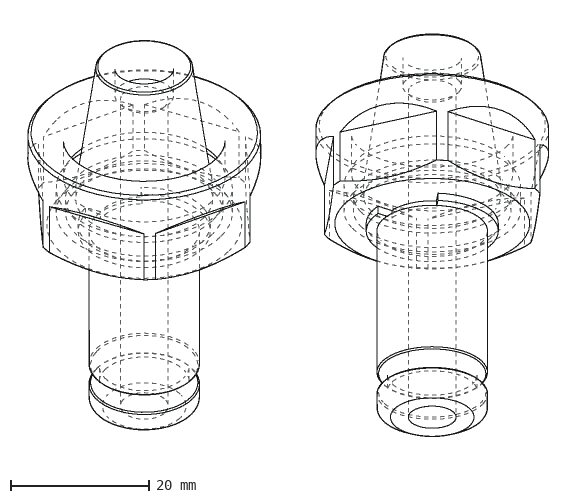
import cadquery as cq
import math

total_height = 59.0

shank_dia = 16.0
groove_dia = 13.0
groove_bottom_z = 4.1
groove_top_z = 7.1
groove_edge_chamfer = 0.25
groove_root_fillet = 0.25
end_chamfer_width = 1.95
end_chamfer_angle = 30.0
end_corner_fillet = 0.9

nose_tip_dia = 14.05
nose_tip_chamfer = 0.3
nose_base_dia = 19.8
nose_half_angle = 8.0
collar_dia = 22.8
collar_top_z = 36.0

bore_dia = 6.9
mouth_dia = 8.5
mouth_depth = 5.0
mouth_fillet = 0.5

nut_dia = 33.7
nut_bottom_z = 31.55
nut_top_z = 47.5
nut_rim_chamfer = 0.5
across_flats = 30.0
flat_top_z = 41.1
flat_runout_angle = 45.0
nut_bottom_face_dia = 28.2
nut_bottom_chamfer_angle = 30.0

throat_dia = 23.35
throat_fillet = 1.5
throat_bottom_z = 39.75
hollow_dia = 25.5
hollow_floor_z = 33.65
hollow_cone_angle = 30.0

ring_outer_dia = 19.1
ring_inner_dia = 14.3
ring_bottom_z = 30.4
ring_gap_angle = 60.0

clearance = 0.6


def tan_deg(angle):
    return math.tan(math.radians(angle))


def cylinder(diameter, bottom_z, top_z):
    return cq.Workplane("XY").workplane(offset=bottom_z).circle(diameter / 2).extrude(top_z - bottom_z)


def revolve_profile(points):
    """Turn a closed (radius, z) outline about the Z axis."""
    return cq.Workplane("XZ").polyline(points).close().revolve(360, (0, 0), (0, 1))


def make_groove():
    """Ring-shaped cut with chamfered rims and rounded roots."""
    core_radius = groove_dia / 2
    outer_radius = shank_dia / 2
    clear_radius = outer_radius + clearance
    rim_radius = outer_radius - groove_edge_chamfer
    root_radius = core_radius + groove_root_fillet
    root_inset = groove_root_fillet * (1 - math.sqrt(0.5))
    return (
        cq.Workplane("XZ")
        .moveTo(root_radius, groove_bottom_z)
        .lineTo(rim_radius, groove_bottom_z)
        .lineTo(outer_radius, groove_bottom_z - groove_edge_chamfer)
        .lineTo(clear_radius, groove_bottom_z - groove_edge_chamfer)
        .lineTo(clear_radius, groove_top_z + groove_edge_chamfer)
        .lineTo(outer_radius, groove_top_z + groove_edge_chamfer)
        .lineTo(rim_radius, groove_top_z)
        .lineTo(root_radius, groove_top_z)
        .threePointArc(
            (core_radius + root_inset, groove_top_z - root_inset),
            (core_radius, groove_top_z - groove_root_fillet),
        )
        .lineTo(core_radius, groove_bottom_z + groove_root_fillet)
        .threePointArc(
            (core_radius + root_inset, groove_bottom_z + root_inset),
            (root_radius, groove_bottom_z),
        )
        .close()
        .revolve(360, (0, 0), (0, 1))
    )


def make_shank():
    end_chamfer_height = end_chamfer_width * tan_deg(end_chamfer_angle)
    shank = cylinder(shank_dia, 0, collar_top_z)
    shank = shank.faces("<Z").chamfer(end_chamfer_height, end_chamfer_width)
    shank = shank.faces("%CYLINDER").edges("<Z").fillet(end_corner_fillet)
    return shank.cut(make_groove())


def make_nose():
    """Collar, straight neck and the taper above it."""
    tip_radius = nose_tip_dia / 2
    base_radius = nose_base_dia / 2
    tip_edge_z = total_height - nose_tip_chamfer
    taper_bottom_z = tip_edge_z - (base_radius - tip_radius) / tan_deg(nose_half_angle)
    return revolve_profile([
        (0, hollow_floor_z),
        (collar_dia / 2, hollow_floor_z),
        (collar_dia / 2, collar_top_z),
        (base_radius, collar_top_z),
        (base_radius, taper_bottom_z),
        (tip_radius, tip_edge_z),
        (tip_radius - nose_tip_chamfer, total_height),
        (0, total_height),
    ])


def make_nut_blank():
    nut_radius = nut_dia / 2
    bottom_radius = nut_bottom_face_dia / 2
    bottom_chamfer_height = (nut_radius - bottom_radius) * tan_deg(nut_bottom_chamfer_angle)
    return revolve_profile([
        (0, nut_bottom_z),
        (bottom_radius, nut_bottom_z),
        (nut_radius, nut_bottom_z + bottom_chamfer_height),
        (nut_radius, nut_top_z - nut_rim_chamfer),
        (nut_radius - nut_rim_chamfer, nut_top_z),
        (0, nut_top_z),
    ])


def cut_hexagon(nut):
    """Mill six flats that run out into the round rim along a sloping face."""
    flat_x = across_flats / 2
    clear_x = nut_dia / 2 + clearance
    runout_height = (clear_x - flat_x) * tan_deg(flat_runout_angle)
    cutter = (
        cq.Workplane("XZ")
        .polyline([
            (flat_x, nut_bottom_z - clearance),
            (flat_x, flat_top_z),
            (clear_x, flat_top_z + runout_height),
            (clear_x, nut_bottom_z - clearance),
        ])
        .close()
        .extrude(nut_dia / 2, both=True)
    )
    for side in range(6):
        nut = nut.cut(cutter.rotate((0, 0, 0), (0, 0, 1), 60 * side))
    return nut


def make_hollow():
    throat_radius = throat_dia / 2
    hollow_radius = hollow_dia / 2
    mouth_radius = throat_radius + throat_fillet
    cone_bottom_z = throat_bottom_z - (hollow_radius - throat_radius) / tan_deg(hollow_cone_angle)
    mid_arc = throat_fillet * math.sqrt(0.5)
    return (
        cq.Workplane("XZ")
        .moveTo(0, hollow_floor_z)
        .lineTo(hollow_radius, hollow_floor_z)
        .lineTo(hollow_radius, cone_bottom_z)
        .lineTo(throat_radius, throat_bottom_z)
        .lineTo(throat_radius, nut_top_z - throat_fillet)
        .threePointArc(
            (mouth_radius - mid_arc, nut_top_z - throat_fillet + mid_arc),
            (mouth_radius, nut_top_z),
        )
        .lineTo(0, nut_top_z)
        .close()
        .revolve(360, (0, 0), (0, 1))
    )


def make_ring_seat():
    """Shank groove that holds the snap ring."""
    seat = cylinder(shank_dia + clearance, ring_bottom_z, nut_bottom_z)
    return seat.cut(cylinder(ring_inner_dia, ring_bottom_z, nut_bottom_z))


def make_snap_ring():
    ring = cylinder(ring_outer_dia, ring_bottom_z, nut_bottom_z)
    ring = ring.cut(cylinder(ring_inner_dia, ring_bottom_z, nut_bottom_z))
    gap_half_width = ring_outer_dia * tan_deg(ring_gap_angle / 2)
    gap = (
        cq.Workplane("XY")
        .workplane(offset=ring_bottom_z)
        .polyline([(0, 0), (-ring_outer_dia, gap_half_width), (-ring_outer_dia, -gap_half_width)])
        .close()
        .extrude(nut_bottom_z - ring_bottom_z)
    )
    return ring.cut(gap)


def make_bore():
    """Through hole with a wider mouth, a 45 degree step and a rounded rim."""
    bore_radius = bore_dia / 2
    mouth_radius = mouth_dia / 2
    step_top_z = total_height - mouth_depth
    rim_radius = mouth_radius + mouth_fillet
    mid_arc = mouth_fillet * math.sqrt(0.5)
    return (
        cq.Workplane("XZ")
        .moveTo(0, 0)
        .lineTo(bore_radius, 0)
        .lineTo(bore_radius, step_top_z - (mouth_radius - bore_radius))
        .lineTo(mouth_radius, step_top_z)
        .lineTo(mouth_radius, total_height - mouth_fillet)
        .threePointArc(
            (rim_radius - mid_arc, total_height - mouth_fillet + mid_arc),
            (rim_radius, total_height),
        )
        .lineTo(0, total_height)
        .close()
        .revolve(360, (0, 0), (0, 1))
    )


nut = cut_hexagon(make_nut_blank()).cut(make_hollow())
shank = make_shank().cut(make_ring_seat())
result = nut.union(shank).union(make_nose()).union(make_snap_ring()).cut(make_bore())